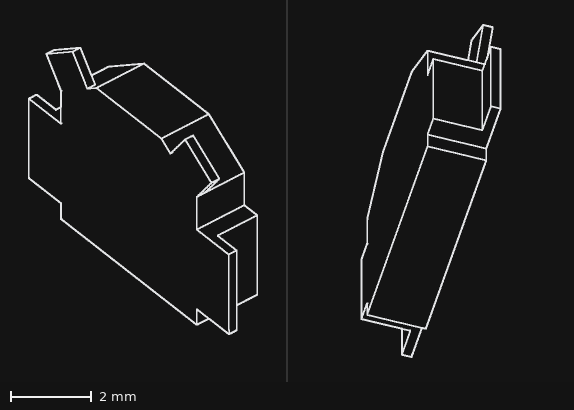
import cadquery as cq
import math

flange_width = 7.87
depth = 1.52
overall_height = 5.65
plate_thickness = 0.25

body_width = 5.335
body_height = 5.085
body_top_width = 2.55
shoulder_height = 4.1

flange_bottom = 0.5
flange_top = 3.05
flange_taper = 0.015
ear_width = 6.35

tab_width = 1.27

half_body = body_width / 2
slope_run = half_body - body_top_width / 2
slope_rise = body_height - shoulder_height
slope_angle = math.atan2(slope_rise, slope_run)
tab_inner_rise = tab_width * math.sin(slope_angle)
tab_length = (overall_height - shoulder_height - tab_inner_rise) / math.cos(slope_angle)


def extrude_from_front(profile, thickness):
    """Extrude an XZ profile from the front face (Y = 0) toward +Y."""
    return profile.extrude(-thickness)


def side_block(width, thickness, right_taper=0.0):
    """Block at flange height; right_taper pulls in its upper +X corner."""
    half_width = width / 2
    corners = [
        (-half_width, flange_bottom),
        (half_width, flange_bottom),
        (half_width - right_taper, flange_top),
        (-half_width, flange_top),
    ]
    return extrude_from_front(cq.Workplane("XZ").polyline(corners).close(), thickness)


def tab(side):
    """Thin tab on one shoulder; side is -1 for left and +1 for right."""
    along_slope = (-side * math.cos(slope_angle), math.sin(slope_angle))
    outward = (side * math.sin(slope_angle), math.cos(slope_angle))

    def corner(across, out):
        x = side * half_body + across * along_slope[0] + out * outward[0]
        z = shoulder_height + across * along_slope[1] + out * outward[1]
        return (x, z)

    corners = [
        corner(0, 0),
        corner(tab_width, 0),
        corner(tab_width, tab_length),
        corner(0, tab_length),
    ]
    return extrude_from_front(cq.Workplane("XZ").polyline(corners).close(), plate_thickness)


body_outline = [
    (-half_body, 0),
    (half_body, 0),
    (half_body, shoulder_height),
    (body_top_width / 2, body_height),
    (-body_top_width / 2, body_height),
    (-half_body, shoulder_height),
]
result = extrude_from_front(cq.Workplane("XZ").polyline(body_outline).close(), depth)

result = result.union(side_block(ear_width, depth))
result = result.union(side_block(flange_width, plate_thickness, flange_taper))

for side in (-1, 1):
    result = result.union(tab(side))

result = result.clean()